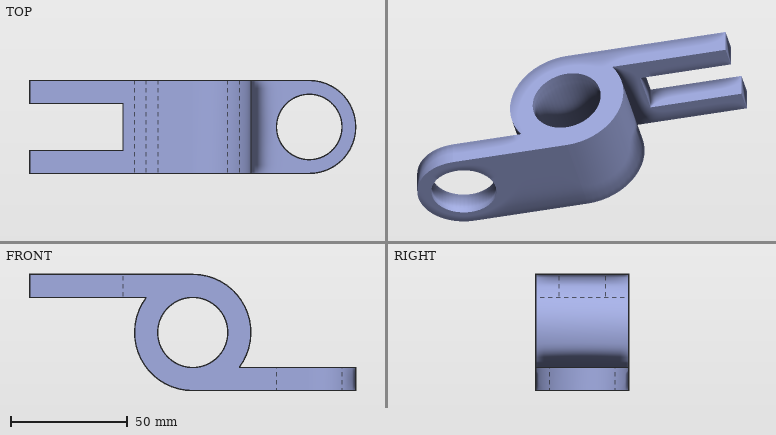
import cadquery as cq

width = 40.0
barrel_diameter = 50.0
bore_diameter = 30.0
arm_thickness = 10.0
arm_reach = 70.0
slot_width = 20.0
slot_depth = 40.0
eye_hole_diameter = 28.0

barrel_radius = barrel_diameter / 2
eye_radius = width / 2
eye_center_x = arm_reach - eye_radius
fork_bottom_z = barrel_radius - arm_thickness


def y_cylinder(diameter):
    """Cylinder on the barrel axis, spanning the full width of the part."""
    return cq.Workplane("XZ").circle(diameter / 2).extrude(width / 2, both=True)


def fork_arm():
    """Upper arm, tangent to the top of the barrel, with an open slot in its end."""
    arm = (
        cq.Workplane("XY", origin=(-arm_reach / 2, 0, fork_bottom_z))
        .rect(arm_reach, width)
        .extrude(arm_thickness)
    )
    slot = (
        cq.Workplane("XY", origin=(-arm_reach + slot_depth / 2, 0, fork_bottom_z))
        .rect(slot_depth, slot_width)
        .extrude(arm_thickness)
    )
    return arm.cut(slot)


def eye_arm():
    """Lower arm, tangent to the bottom of the barrel, with a rounded end and a hole."""
    arm = (
        cq.Workplane("XY", origin=(0, 0, -barrel_radius))
        .moveTo(0, -eye_radius)
        .lineTo(eye_center_x, -eye_radius)
        .threePointArc((arm_reach, 0), (eye_center_x, eye_radius))
        .lineTo(0, eye_radius)
        .close()
        .extrude(arm_thickness)
    )
    eye_hole = (
        cq.Workplane("XY", origin=(eye_center_x, 0, -barrel_radius))
        .circle(eye_hole_diameter / 2)
        .extrude(arm_thickness)
    )
    return arm.cut(eye_hole)


body = y_cylinder(barrel_diameter).union(fork_arm()).union(eye_arm())
result = body.cut(y_cylinder(bore_diameter))